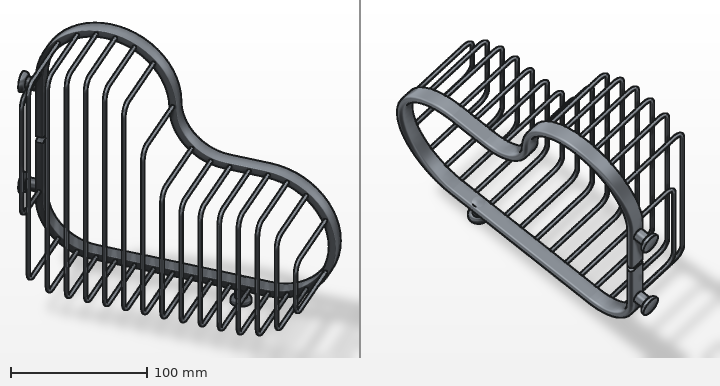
import cadquery as cq
import math


LOBE_RADIUS = 55.5
CORNER_RADIUS = 43.5
RIM_WIDTH = 236.0
RIM_HEIGHT = 204.0
NECK_RADIUS = RIM_HEIGHT - 3 * LOBE_RADIUS
RIM_THICKNESS = 6.0
RIM_DEPTH = 12.7
RIM_BACK_FILLET = 2.7
RIM_FRONT_FILLET = 0.5

WIRE_DIAMETER = 3.0
WIRE_COUNT = 16
WIRE_SPAN = 224.8
WIRE_PITCH = WIRE_SPAN / (WIRE_COUNT - 1)
WIRE_BEND = 9.0
BASKET_DEPTH = 75.9
SHORT_WIRE_DEPTH = 50.5
SHORT_WIRE_END = 50.0

STUD_REACH = 12.7
STUD_DIAMETER = 9.5
STUD_AXIS_DEPTH = 7.2
STUD_TIP = 0.7
DISC_DIAMETER = 16.0
DISC_THICKNESS = 4.2
LEFT_STUD_HEIGHTS = (51.2, 140.3)
BOTTOM_STUD_X = 159.5

GAP_EDGE_HEIGHT = 5.0
GAP_MIDDLE_HEIGHT = 3.0
GAP_Z = sum(LEFT_STUD_HEIGHTS) / 2

UPPER_X = LOBE_RADIUS
UPPER_Z = RIM_HEIGHT - LOBE_RADIUS
RIGHT_X = RIM_WIDTH - LOBE_RADIUS
RIGHT_Z = LOBE_RADIUS
NECK_X = 2 * LOBE_RADIUS + NECK_RADIUS
NECK_Z = UPPER_Z


def rim_block(inset, depth):
    """Solid filling the rim outline moved inward by `inset`."""
    lobe = LOBE_RADIUS - inset
    neck = NECK_RADIUS + inset
    corner = CORNER_RADIUS - inset
    diagonal = math.sqrt(0.5)
    return (
        cq.Workplane("XZ")
        .moveTo(inset, CORNER_RADIUS)
        .lineTo(inset, UPPER_Z)
        .threePointArc((UPPER_X, UPPER_Z + lobe), (UPPER_X + lobe, UPPER_Z))
        .threePointArc((NECK_X - neck * diagonal, NECK_Z - neck * diagonal), (NECK_X, NECK_Z - neck))
        .lineTo(RIGHT_X, RIGHT_Z + lobe)
        .threePointArc((RIGHT_X + lobe, RIGHT_Z), (RIGHT_X, RIGHT_Z - lobe))
        .lineTo(CORNER_RADIUS, inset)
        .threePointArc(
            (CORNER_RADIUS - corner * diagonal, CORNER_RADIUS - corner * diagonal),
            (inset, CORNER_RADIUS),
        )
        .close()
        .extrude(depth)
    )


def make_gap():
    edge = GAP_EDGE_HEIGHT / 2
    middle = GAP_MIDDLE_HEIGHT / 2
    return (
        cq.Workplane("YZ", origin=(0, 0, GAP_Z))
        .moveTo(0, edge)
        .threePointArc((-RIM_DEPTH / 2, middle), (-RIM_DEPTH, edge))
        .lineTo(-RIM_DEPTH, -edge)
        .threePointArc((-RIM_DEPTH / 2, -middle), (0, -edge))
        .close()
        .extrude(RIM_THICKNESS)
    )


def make_rim():
    band = rim_block(0, RIM_DEPTH).cut(rim_block(RIM_THICKNESS, RIM_DEPTH))
    band = band.faces(">Y").edges().fillet(RIM_BACK_FILLET)
    band = band.faces("<Y").edges().fillet(RIM_FRONT_FILLET)
    return band.cut(make_gap())


def half_chord(radius, offset):
    return math.sqrt(radius ** 2 - offset ** 2)


def rim_top(x):
    """Height of the upper run of the rim's centreline at x."""
    lobe = LOBE_RADIUS - RIM_THICKNESS / 2
    neck = NECK_RADIUS + RIM_THICKNESS / 2
    if x <= UPPER_X + lobe:
        return UPPER_Z + half_chord(lobe, x - UPPER_X)
    if x <= NECK_X:
        return NECK_Z - half_chord(neck, x - NECK_X)
    return RIGHT_Z + half_chord(lobe, max(0, x - RIGHT_X))


def rim_bottom(x):
    """Height of the lower run of the rim's centreline at x."""
    if x <= RIGHT_X:
        corner = CORNER_RADIUS - RIM_THICKNESS / 2
        return CORNER_RADIUS - half_chord(corner, min(0, x - CORNER_RADIUS))
    return RIGHT_Z - half_chord(LOBE_RADIUS - RIM_THICKNESS / 2, x - RIGHT_X)


def make_wire(x, z_low, z_high, depth):
    """U-shaped wire with both ends sunk halfway into the rim."""
    y_end = -RIM_DEPTH / 2
    y_front = -depth + WIRE_DIAMETER / 2
    y_bend = y_front + WIRE_BEND
    bend_inset = WIRE_BEND * (1 - math.sqrt(0.5))
    path = (
        cq.Workplane("YZ", origin=(x, 0, 0))
        .moveTo(y_end, z_low)
        .lineTo(y_bend, z_low)
        .threePointArc((y_front + bend_inset, z_low + bend_inset), (y_front, z_low + WIRE_BEND))
        .lineTo(y_front, z_high - WIRE_BEND)
        .threePointArc((y_front + bend_inset, z_high - bend_inset), (y_bend, z_high))
        .lineTo(y_end, z_high)
    )
    section = cq.Workplane("XZ", origin=(x, y_end, z_low)).circle(WIRE_DIAMETER / 2)
    return section.sweep(path)


def make_stud():
    """Stud along +Z: disc rounded into the shaft, which pierces the rim (outer side at Z = 0)."""
    shaft_radius = STUD_DIAMETER / 2
    disc_radius = DISC_DIAMETER / 2
    disc_round = disc_radius - shaft_radius
    disc_top = -STUD_REACH + DISC_THICKNESS
    round_middle = disc_round * (1 - math.sqrt(0.5))
    tip_radius = (shaft_radius ** 2 + STUD_TIP ** 2) / (2 * STUD_TIP)
    tip_top = RIM_THICKNESS + STUD_TIP
    tip_middle = tip_top - tip_radius + half_chord(tip_radius, shaft_radius / 2)
    return (
        cq.Workplane("XZ")
        .moveTo(0, -STUD_REACH)
        .lineTo(disc_radius, -STUD_REACH)
        .lineTo(disc_radius, disc_top - disc_round)
        .threePointArc((disc_radius - round_middle, disc_top - round_middle), (shaft_radius, disc_top))
        .lineTo(shaft_radius, RIM_THICKNESS)
        .threePointArc((shaft_radius / 2, tip_middle), (0, tip_top))
        .close()
        .revolve(360, (0, 0, 0), (0, 1, 0))
    )


result = make_rim()

first_x = RIM_THICKNESS / 2
result = result.union(
    make_wire(first_x, SHORT_WIRE_END, RIM_HEIGHT - SHORT_WIRE_END, SHORT_WIRE_DEPTH)
)
for index in range(1, WIRE_COUNT):
    wire_x = first_x + index * WIRE_PITCH
    result = result.union(make_wire(wire_x, rim_bottom(wire_x), rim_top(wire_x), BASKET_DEPTH))

bottom_stud = make_stud()
result = result.union(bottom_stud.translate((BOTTOM_STUD_X, -STUD_AXIS_DEPTH, 0)))
left_stud = make_stud().rotate((0, 0, 0), (0, 1, 0), 90)
for height in LEFT_STUD_HEIGHTS:
    result = result.union(left_stud.translate((0, -STUD_AXIS_DEPTH, height)))